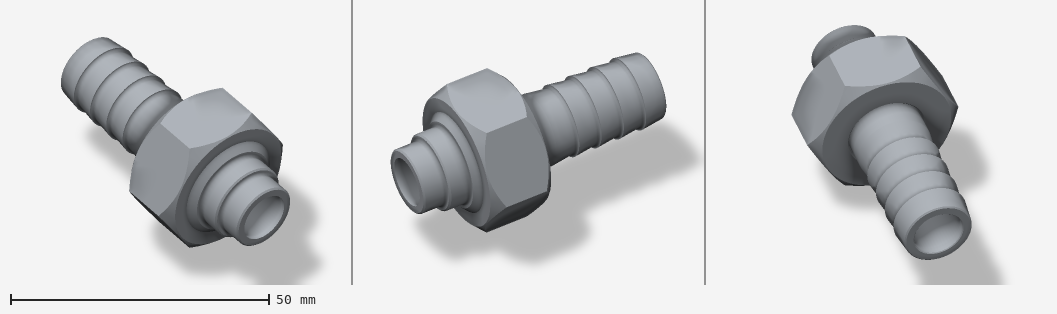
import cadquery as cq
import math

total_length = 54.0
ridge_pitch = 4.95
ridge_count = 5
nut_start = 29.45
nut_length = 13.55
nut_end = nut_start + nut_length
nut_wall = 3.25
joint_x = 37.8
cone_end = 44.4
shoulder_end = 49.0

bore_diameter = 10.0
mouth_diameter = 10.3
tail_diameter = 15.0
valley_diameter = 13.8
tail_tip_chamfer = 0.25
collar_diameter = 18.65

across_flats = 27.0
nut_face_diameter = 26.55
nut_bore_diameter = 15.5
nut_bore_mouth_diameter = 16.0

adaptor_diameter = 20.9
cone_tip_diameter = 18.0
shoulder_diameter = 16.0
spigot_diameter = 13.5
edge_chamfer = 0.3

root_fillet = 0.5
collar_start = nut_start + nut_wall


def revolve_about_x(profile):
    """Revolve a closed profile drawn as (x, radius) about the X axis."""
    return profile.close().revolve(360, (0, 0, 0), (1, 0, 0))


def cylinder_x(diameter, start, end):
    return cq.Workplane("YZ", origin=(start, 0, 0)).circle(diameter / 2).extrude(end - start)


def cone_x(start_diameter, end_diameter, start, end):
    profile = cq.Workplane("XY").moveTo(start, 0).lineTo(start, start_diameter / 2)
    return revolve_about_x(profile.lineTo(end, end_diameter / 2).lineTo(end, 0))


def step_down_with_fillet(profile, x, radius):
    """Drop along the face at x and round into a cylinder of the given radius."""
    diagonal = root_fillet * (1 - math.sqrt(0.5))
    return profile.lineTo(x, radius + root_fillet).threePointArc(
        (x + diagonal, radius + diagonal), (x + root_fillet, radius)
    )


def make_hose_tail():
    """Ridged tube with a plain neck and a collar held inside the nut."""
    valley_radius = valley_diameter / 2
    tail_radius = tail_diameter / 2
    profile = (
        cq.Workplane("XY")
        .lineTo(0, valley_radius - tail_tip_chamfer)
        .lineTo(tail_tip_chamfer, valley_radius)
    )
    for ridge in range(1, ridge_count + 1):
        crest_x = ridge * ridge_pitch
        profile = profile.lineTo(crest_x, tail_radius)
        if ridge < ridge_count:
            profile = step_down_with_fillet(profile, crest_x, valley_radius)
    profile = (
        profile.lineTo(collar_start, tail_radius)
        .lineTo(collar_start, collar_diameter / 2)
        .lineTo(joint_x, collar_diameter / 2)
        .lineTo(joint_x, 0)
    )
    mouth_depth = (mouth_diameter - bore_diameter) / 2
    return (
        revolve_about_x(profile)
        .cut(cylinder_x(bore_diameter, 0, joint_x))
        .cut(cone_x(mouth_diameter, bore_diameter, 0, mouth_depth))
    )


def make_nut():
    """Hexagon with flats facing up and down, cone-chamfered at both faces."""
    across_corners = across_flats / math.cos(math.pi / 6)
    corner_drop = (across_corners - nut_face_diameter) / 2
    hexagon = cq.Workplane("YZ", origin=(nut_start, 0, 0)).polygon(6, across_corners).extrude(nut_length)
    chamfer_envelope = revolve_about_x(
        cq.Workplane("XY")
        .moveTo(nut_start, 0)
        .lineTo(nut_start, nut_face_diameter / 2)
        .lineTo(nut_start + corner_drop, across_corners / 2)
        .lineTo(nut_end - corner_drop, across_corners / 2)
        .lineTo(nut_end, nut_face_diameter / 2)
        .lineTo(nut_end, 0)
    )
    mouth_depth = (nut_bore_mouth_diameter - nut_bore_diameter) / 2
    return (
        hexagon.intersect(chamfer_envelope)
        .cut(cylinder_x(nut_bore_diameter, nut_start, collar_start))
        .cut(cone_x(nut_bore_mouth_diameter, nut_bore_diameter, nut_start, nut_start + mouth_depth))
        .cut(cylinder_x(adaptor_diameter, collar_start, nut_end))
    )


def make_adaptor():
    """Stepped tube seated in the nut, tapering out of it to a shoulder and a spigot."""
    shoulder_radius = shoulder_diameter / 2
    spigot_radius = spigot_diameter / 2
    profile = (
        cq.Workplane("XY")
        .moveTo(joint_x, 0)
        .lineTo(joint_x, adaptor_diameter / 2)
        .lineTo(nut_end, adaptor_diameter / 2)
        .lineTo(cone_end, cone_tip_diameter / 2)
    )
    profile = (
        step_down_with_fillet(profile, cone_end, shoulder_radius)
        .lineTo(shoulder_end - edge_chamfer, shoulder_radius)
        .lineTo(shoulder_end, shoulder_radius - edge_chamfer)
    )
    profile = (
        step_down_with_fillet(profile, shoulder_end, spigot_radius)
        .lineTo(total_length - edge_chamfer, spigot_radius)
        .lineTo(total_length, spigot_radius - edge_chamfer)
        .lineTo(total_length, 0)
    )
    return revolve_about_x(profile).cut(cylinder_x(bore_diameter, joint_x, total_length))


hose_tail = make_hose_tail()
nut = make_nut()
adaptor = make_adaptor()

result = cq.Compound.makeCompound([hose_tail.val(), nut.val(), adaptor.val()])